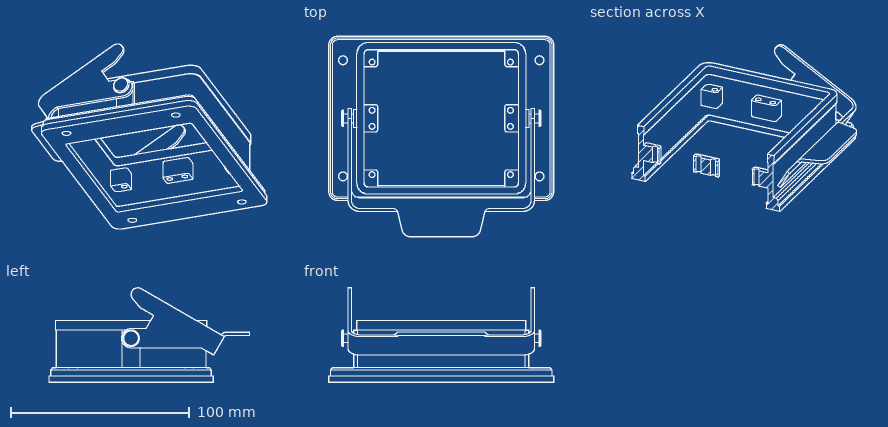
import cadquery as cq
import math

GASKET_X, GASKET_Y = 126.0, 92.0
GASKET_HEIGHT = 3.6
GASKET_RADIUS = 5.0
GASKET_OPENING_X, GASKET_OPENING_Y = 86.2, 75.0
PLATE_INSET = 1.0
PLATE_TOP = 8.2
PLATE_BEVEL_DROP = 1.4
PLATE_BEVEL_INSET = 1.0
MOUNT_X, MOUNT_Y = 55.0, 32.5
MOUNT_DIAMETER = 4.8

WALL_X, WALL_Y = 94.0, 84.0
RIM_X, RIM_Y = 94.6, 84.8
RIM_BOTTOM = 29.3
HOOD_TOP = 34.7
HOOD_RADIUS = 6.2
CAVITY_X, CAVITY_Y = 86.6, 77.0
RIM_LIP = 0.2
CAVITY_RADIUS = 2.4
OPENING_RADIUS = 1.6

BOSS_INNER_X = 35.5
BOSS_BOTTOM, BOSS_TOP = 13.0, 23.0
BOSS_EDGE_RADIUS = 1.5
BOSS_EMBED = 1.0
CORNER_BOSS_INNER_Y = 28.8
MIDDLE_BOSS_HALF_Y = 7.7
BOSS_HOLE_X = 38.7
BOSS_HOLE_DIAMETER = 3.1
CORNER_HOLE_Y = 31.5
MIDDLE_HOLE_Y = 4.5

PAD_X = 49.0
PAD_WIDTH = 10.0
PIVOT_Z = 24.7
PIN_DIAMETER = 5.0
HEAD_RADIUS = 4.65
HEAD_CHAMFER = 0.6
HEAD_OUTER_X = 55.8
HEAD_THICKNESS = 1.0

SHEET = 2.0
TILT = math.radians(30)
BAIL_HALF_X = 52.2
BAIL_BEND_RADIUS = 7.0
BAIL_REACH = 44.8
BAIL_RISE = 26.9
BAR_WIDTH = 12.0
PIVOT_LOBE_RADIUS = 5.4
NOTCH_REACH = 4.5
NOTCH_RISE = 17.3
TAIL_CORNER_REACH = -4.2
TAIL_CORNER_RADIUS = 5.0
TAIL_TIP_REACH = -8.97
TAIL_TIP_RADIUS = 3.8

OVERALL_Y = 112.35
TAB_END_Y = GASKET_Y / 2 - OVERALL_Y
TAB_BEND_RADIUS = 1.0
TAB_ROOT_HALF_X = 24.9
TAB_TAPER = math.radians(13.5)
TAB_CORNER_RADIUS = 5.0
TAB_ROOT_FILLET = 2.5


def rounded_block(size_x, size_y, radius, z_low, z_high):
    """Block centred on the Z axis with rounded vertical edges."""
    block = cq.Workplane("XY").workplane(offset=z_low).rect(size_x, size_y).extrude(z_high - z_low)
    return block.edges("|Z").fillet(radius)


def tilted(reach, rise):
    """(Y, Z) of a point given in the bail's tilted directions."""
    forward = reach * math.cos(TILT) + rise * math.sin(TILT)
    upward = rise * math.cos(TILT) - reach * math.sin(TILT)
    return -forward, PIVOT_Z + upward


def make_base():
    gasket = rounded_block(GASKET_X, GASKET_Y, GASKET_RADIUS, 0, GASKET_HEIGHT)
    plate = rounded_block(
        GASKET_X - 2 * PLATE_INSET,
        GASKET_Y - 2 * PLATE_INSET,
        GASKET_RADIUS - PLATE_INSET,
        GASKET_HEIGHT,
        PLATE_TOP,
    )
    plate = plate.faces(">Z").chamfer(PLATE_BEVEL_DROP, PLATE_BEVEL_INSET)
    mounts = [(x, y) for x in (-MOUNT_X, MOUNT_X) for y in (-MOUNT_Y, MOUNT_Y)]
    holes = cq.Workplane("XY").pushPoints(mounts).circle(MOUNT_DIAMETER / 2).extrude(PLATE_TOP)
    return gasket.union(plate).cut(holes)


def make_hood():
    wall = rounded_block(WALL_X, WALL_Y, HOOD_RADIUS, PLATE_TOP, RIM_BOTTOM)
    rim = rounded_block(RIM_X, RIM_Y, HOOD_RADIUS, RIM_BOTTOM, HOOD_TOP)
    pads = cq.Workplane("XY").workplane(offset=PLATE_TOP)
    pads = pads.rect(2 * PAD_X, PAD_WIDTH).extrude(RIM_BOTTOM - PLATE_TOP)
    return wall.union(rim).union(pads)


def make_cavity():
    """Inside of the frame; the gasket and the rim overhang the hood cavity."""
    opening = rounded_block(GASKET_OPENING_X, GASKET_OPENING_Y, OPENING_RADIUS, 0, GASKET_HEIGHT)
    cavity = rounded_block(CAVITY_X, CAVITY_Y, CAVITY_RADIUS, GASKET_HEIGHT, RIM_BOTTOM)
    mouth = rounded_block(
        CAVITY_X - 2 * RIM_LIP,
        CAVITY_Y - 2 * RIM_LIP,
        CAVITY_RADIUS - RIM_LIP,
        RIM_BOTTOM,
        HOOD_TOP,
    )
    return opening.union(cavity).union(mouth)


def make_boss(side, y_low, y_high, rounded_edges, hole_ys):
    """Boss on one X wall, sunk slightly into the wall so that it fuses."""
    outer_x = CAVITY_X / 2 + BOSS_EMBED
    boss = (
        cq.Workplane("XY")
        .workplane(offset=BOSS_BOTTOM)
        .center(side * (BOSS_INNER_X + outer_x) / 2, (y_low + y_high) / 2)
        .rect(outer_x - BOSS_INNER_X, y_high - y_low)
        .extrude(BOSS_TOP - BOSS_BOTTOM)
    )
    inner_face = "<X" if side > 0 else ">X"
    boss = boss.faces(inner_face).edges(rounded_edges).fillet(BOSS_EDGE_RADIUS)
    holes = (
        cq.Workplane("XY")
        .workplane(offset=BOSS_BOTTOM)
        .pushPoints([(side * BOSS_HOLE_X, y) for y in hole_ys])
        .circle(BOSS_HOLE_DIAMETER / 2)
        .extrude(BOSS_TOP - BOSS_BOTTOM)
    )
    return boss.cut(holes)


def make_bosses(side):
    wall_y = CAVITY_Y / 2 + BOSS_EMBED
    middle = make_boss(side, -MIDDLE_BOSS_HALF_Y, MIDDLE_BOSS_HALF_Y, "|Z", (-MIDDLE_HOLE_Y, MIDDLE_HOLE_Y))
    back = make_boss(side, CORNER_BOSS_INNER_Y, wall_y, "|Z and <Y", (CORNER_HOLE_Y,))
    front = make_boss(side, -wall_y, -CORNER_BOSS_INNER_Y, "|Z and >Y", (-CORNER_HOLE_Y,))
    return middle.union(back).union(front)


def make_pin(side):
    head_inner_x = HEAD_OUTER_X - HEAD_THICKNESS
    shank_plane = cq.Plane((side * PAD_X, 0, PIVOT_Z), xDir=(0, 1, 0), normal=(side, 0, 0))
    shank = cq.Workplane(shank_plane).circle(PIN_DIAMETER / 2).extrude(head_inner_x - PAD_X)
    head_plane = cq.Plane((side * head_inner_x, 0, PIVOT_Z), xDir=(0, 1, 0), normal=(side, 0, 0))
    head = cq.Workplane(head_plane).circle(HEAD_RADIUS).extrude(HEAD_THICKNESS)
    outer_face = ">X" if side > 0 else "<X"
    return shank.union(head.faces(outer_face).edges().chamfer(HEAD_CHAMFER))


def bail_side_profile():
    """Outline of the bail seen along X, extruded over its full width."""
    bar_bottom = BAIL_RISE - BAR_WIDTH
    lower_z = PIVOT_Z - PIVOT_LOBE_RADIUS
    upper_z = PIVOT_Z + PIVOT_LOBE_RADIUS

    lower_reach = (PIVOT_LOBE_RADIUS + bar_bottom * math.cos(TILT)) / math.sin(TILT)
    lower_end = tilted(lower_reach, bar_bottom)
    notch_foot_rise = (PIVOT_LOBE_RADIUS + NOTCH_REACH * math.sin(TILT)) / math.cos(TILT)

    tip_rise = BAIL_RISE - TAIL_TIP_RADIUS
    run = TAIL_CORNER_REACH - TAIL_TIP_REACH
    drop = tip_rise - NOTCH_RISE
    tangent_angle = math.atan2(-drop, run) - math.acos(TAIL_TIP_RADIUS / math.hypot(run, drop))
    mid_angle = (tangent_angle - 1.5 * math.pi) / 2

    def tip_point(angle):
        return tilted(
            TAIL_TIP_REACH + TAIL_TIP_RADIUS * math.cos(angle),
            tip_rise + TAIL_TIP_RADIUS * math.sin(angle),
        )

    corner_y, corner_z = tilted(TAIL_CORNER_REACH, NOTCH_RISE)
    profile = (
        cq.Workplane("YZ")
        .workplane(offset=-BAIL_HALF_X)
        .moveTo(0, lower_z)
        .lineTo(*lower_end)
        .lineTo(*tilted(BAIL_REACH, bar_bottom))
        .lineTo(*tilted(BAIL_REACH, BAIL_RISE))
        .lineTo(*tilted(TAIL_TIP_REACH, BAIL_RISE))
        .threePointArc(tip_point(mid_angle), tip_point(tangent_angle))
        .lineTo(corner_y, corner_z)
        .lineTo(*tilted(NOTCH_REACH, NOTCH_RISE))
        .lineTo(*tilted(NOTCH_REACH, notch_foot_rise))
        .lineTo(0, upper_z)
        .threePointArc((PIVOT_LOBE_RADIUS, PIVOT_Z), (0, lower_z))
        .close()
        .extrude(2 * BAIL_HALF_X)
    )
    tail_corner = cq.selectors.NearestToPointSelector((0, corner_y, corner_z))
    return profile.edges(tail_corner).fillet(TAIL_CORNER_RADIUS)


def strap_section(plane, half_x, front_reach, radius):
    """Block across the tilted plane with its two front corners rounded."""
    far = 2 * BAIL_REACH
    diagonal = radius * (1 - math.sqrt(0.5))
    return (
        cq.Workplane(plane)
        .moveTo(-half_x, far)
        .lineTo(-half_x, radius - front_reach)
        .threePointArc((diagonal - half_x, diagonal - front_reach), (radius - half_x, -front_reach))
        .lineTo(half_x - radius, -front_reach)
        .threePointArc((half_x - diagonal, diagonal - front_reach), (half_x, radius - front_reach))
        .lineTo(half_x, far)
        .close()
        .extrude(far, both=True)
    )


def make_bail():
    """U-shaped strap: side outline limited to a bent sheet of constant thickness."""
    strap_plane = cq.Plane(
        (0, 0, PIVOT_Z),
        xDir=(1, 0, 0),
        normal=(0, -math.sin(TILT), math.cos(TILT)),
    )

    outer = strap_section(strap_plane, BAIL_HALF_X, BAIL_REACH, BAIL_BEND_RADIUS)
    inner = strap_section(strap_plane, BAIL_HALF_X - SHEET, BAIL_REACH - SHEET, BAIL_BEND_RADIUS - SHEET)
    return bail_side_profile().intersect(outer.cut(inner))


def make_tab():
    outer_radius = TAB_BEND_RADIUS + SHEET
    center_reach = BAIL_REACH + TAB_BEND_RADIUS
    center_y, center_z = tilted(center_reach, BAIL_RISE)
    half_bend = (math.pi / 2 - TILT) / 2

    def bend_middle(radius):
        return center_y + radius * math.sin(half_bend), center_z + radius * math.cos(half_bend)

    strip = (
        cq.Workplane("YZ")
        .workplane(offset=-BAIL_HALF_X)
        .moveTo(*tilted(BAIL_REACH - SHEET, BAIL_RISE))
        .threePointArc(bend_middle(outer_radius), (center_y, center_z + outer_radius))
        .lineTo(TAB_END_Y, center_z + outer_radius)
        .lineTo(TAB_END_Y, center_z + TAB_BEND_RADIUS)
        .lineTo(center_y, center_z + TAB_BEND_RADIUS)
        .threePointArc(bend_middle(TAB_BEND_RADIUS), tilted(BAIL_REACH, BAIL_RISE))
        .close()
        .extrude(2 * BAIL_HALF_X)
    )
    root_y = tilted(BAIL_REACH - SHEET, BAIL_RISE)[0]
    end_half_x = TAB_ROOT_HALF_X - (root_y - TAB_END_Y) * math.tan(TAB_TAPER)
    flare = TAB_ROOT_FILLET * math.tan((math.pi / 2 - TAB_TAPER) / 2)
    flare_end_x = TAB_ROOT_HALF_X - flare * math.sin(TAB_TAPER)
    flare_end_y = root_y - flare * math.cos(TAB_TAPER)
    half_outline = (
        cq.Workplane("XY")
        .moveTo(0, root_y)
        .lineTo(0, TAB_END_Y)
        .lineTo(end_half_x, TAB_END_Y)
        .lineTo(flare_end_x, flare_end_y)
        .tangentArcPoint((TAB_ROOT_HALF_X + flare, root_y), relative=False)
        .close()
        .extrude(2 * HOOD_TOP)
    )
    end_corner = cq.selectors.NearestToPointSelector((end_half_x, TAB_END_Y, HOOD_TOP))
    half_outline = half_outline.edges(end_corner).fillet(TAB_CORNER_RADIUS)
    outline = half_outline.union(half_outline.mirror("YZ"))
    return strip.intersect(outline)


result = make_base().union(make_hood()).cut(make_cavity())
result = result.union(make_bail()).union(make_tab())
for side in (-1, 1):
    result = result.union(make_bosses(side)).union(make_pin(side))